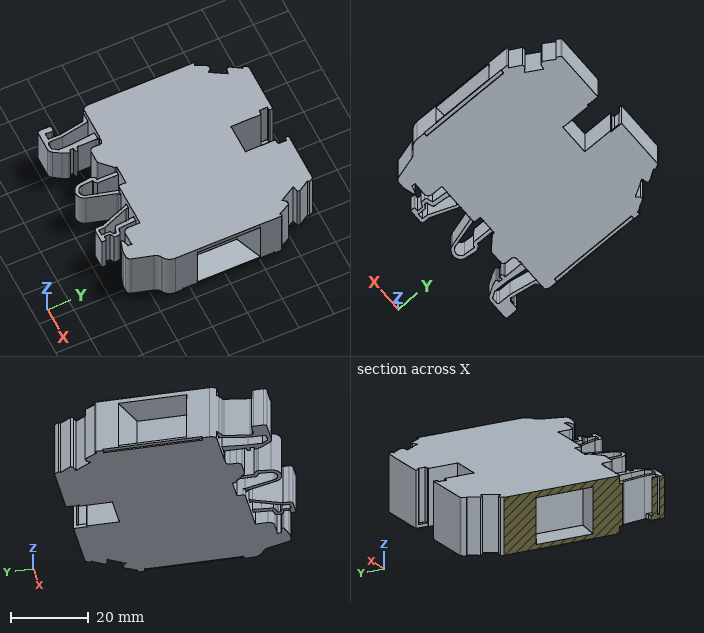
import cadquery as cq
import math


width = 52.8
thickness = 16.0
total_length = 57.38
foot_depth = 13.18
half_width = width / 2
body_top = total_length - foot_depth
shoulder = 32.0

slot_floor = 32.0
slot_half_width = 4.33
mouth_half_width = 4.67
mouth_floor = 40.65

mouth_recess_side = 5.68
mouth_recess_bottom = 40.7
mouth_recess_top = 43.05
mouth_recess_bend = 0.6
mouth_recess_bevel = 0.15
mouth_recess_flare = 0.3
mouth_recess_floor = 1.0

entry_mouth = (7.73, 25.76, 0.96, 14.6)
entry_end = (8.4, 22.2, 2.4, 13.2)
entry_depth = 6.7

rebate_low = 3.73
rebate_high = 29.85
rebate_height = 0.4
rebate_depth = 1.0

corner_radius = 2.46
corner_start = 1.72
corner_center_x = -half_width + corner_radius
corner_end_x = -25.0
corner_end_y = corner_start - math.sqrt(corner_radius**2 - (corner_center_x - corner_end_x) ** 2)

foot_z_low = 2.0
foot_z_high = 13.8
root_overlap = 1.0
seat_step = 0.1
step_y = -2.13
hook_floor_top = 3.4


def corner_points(previous, corner, following):
    """Start, middle and end of the arc rounding one corner (x, y, radius)."""
    x, y, radius = corner
    to_previous = cq.Vector(previous[0] - x, previous[1] - y).normalized()
    to_following = cq.Vector(following[0] - x, following[1] - y).normalized()
    half_angle = to_previous.getAngle(to_following) / 2
    setback = radius / math.tan(half_angle)
    apex_gap = radius / math.sin(half_angle) - radius
    vertex = cq.Vector(x, y)
    bisector = (to_previous + to_following).normalized()
    return (
        vertex + to_previous * setback,
        vertex + bisector * apex_gap,
        vertex + to_following * setback,
    )


def prism(outline, z_low, z_high):
    """Extrude a closed outline of (x, y) or rounded (x, y, radius) corners."""
    edges = []
    arcs = []
    for index, corner in enumerate(outline):
        if len(corner) == 2:
            vertex = cq.Vector(*corner)
            arcs.append((vertex, None, vertex))
        else:
            following = outline[(index + 1) % len(outline)]
            arcs.append(corner_points(outline[index - 1], corner, following))
    for index, (start, middle, end) in enumerate(arcs):
        previous_end = arcs[index - 1][2]
        edges.append(cq.Edge.makeLine(previous_end, start))
        if middle is not None:
            edges.append(cq.Edge.makeThreePointArc(start, middle, end))
    face = cq.Face.makeFromWires(cq.Wire.assembleEdges(edges))
    solid = cq.Solid.extrudeLinear(face, cq.Vector(0, 0, z_high - z_low))
    return cq.Workplane(solid.translate(cq.Vector(0, 0, z_low)))


def foot_prism(outline):
    return prism(outline, foot_z_low, foot_z_high)


def mirrored(points):
    """The same run of points on the other side of X = 0, in reverse order."""
    return [(-point[0], *point[1:]) for point in reversed(points)]


def make_body():
    left_flank = [
        (-half_width, shoulder, 0.3),
        (-26.05, shoulder),
        (-25.65, 31.7),
        (-23.85, 35.03),
        (-22.9, 35.03),
        (-22.07, 34.03),
        (-19.5, 38.4),
        (-21.05, 38.75),
        (-21.35, 39.45),
        (-19.45, 42.5),
        (-19.9, 42.9),
        (-19.1, body_top, 0.3),
        (-mouth_half_width, body_top),
        (-mouth_half_width, mouth_floor),
        (-slot_half_width, mouth_floor),
        (-slot_half_width, slot_floor),
    ]
    rail_hook = [
        (half_width, -0.6, 3.4),
        (23.6, -2.2, 2.5),
        (21.4, -9.95, 1.3),
        (18.7, -9.95, 3.0),
        (15.6, -9.0, 0.15),
        (15.6, -8.5),
        (17.57, -7.9),
        (17.57, -6.85),
        (17.1, -6.95),
        (12.53, -6.95, 1.5),
    ]
    underside = [
        (12.53, step_y),
        (-0.3, step_y, 0.5),
        (-0.3, 0.0),
        (-5.73, 0.0),
        (-5.73, -0.55),
        (-9.2, -3.95, 0.5),
        (-13.9, -3.95, 1.15),
        (-13.9, -seat_step, 1.0),
        (-16.16, -seat_step),
        (-16.16, 0.0),
        (-half_width, 0.0),
    ]
    outline = left_flank + mirrored(left_flank) + rail_hook + underside
    return prism(outline, 0, thickness)


def make_mouth_recess():
    bend_x = -mouth_recess_side + mouth_recess_bend
    outline = [
        (-mouth_half_width, mouth_recess_bottom),
        (bend_x, mouth_recess_bottom),
        (-mouth_recess_side, mouth_recess_bottom + mouth_recess_bevel),
        (-mouth_recess_side, mouth_recess_top),
        (bend_x, mouth_recess_top),
        (-mouth_half_width, mouth_recess_top + mouth_recess_flare),
    ]
    return prism(outline, mouth_recess_floor, thickness)


def rectangle_wire(x, limits):
    y_low, y_high, z_low, z_high = limits
    corners = [(y_low, z_low), (y_high, z_low), (y_high, z_high), (y_low, z_high)]
    return cq.Wire.makePolygon([cq.Vector(x, y, z) for y, z in corners], close=True)


def make_wire_entry():
    mouth = rectangle_wire(-half_width, entry_mouth)
    end = rectangle_wire(-half_width + entry_depth, entry_end)
    return cq.Workplane(cq.Solid.makeLoft([mouth, end], True))


def make_edge_rebate():
    inner_x = -half_width + rebate_depth
    outline = [
        (-half_width, rebate_low),
        (inner_x, rebate_low),
        (inner_x, rebate_high),
        (-half_width, rebate_high),
    ]
    return prism(outline, 0, rebate_height)


def make_corner_waste():
    """Material outside the rounded lower left corner."""
    rectangle = [
        (-half_width, corner_start),
        (-half_width, corner_end_y),
        (corner_end_x, corner_end_y),
        (corner_end_x, corner_start),
    ]
    disc = cq.Workplane().center(corner_center_x, corner_start).circle(corner_radius).extrude(thickness)
    return prism(rectangle, 0, thickness).cut(disc)


def make_latch_foot():
    outline = [
        (-half_width, 0.0),
        (-half_width, corner_end_y),
        (corner_end_x, corner_end_y),
        (-23.6, -1.25, 0.6),
        (-22.47, -8.2),
        (-22.47, -8.65),
        (-23.0, -9.15),
        (-25.9, -9.15, 0.7),
        (-25.9, -foot_depth, 0.7),
        (-18.8, -foot_depth, 1.6),
        (-17.0, -10.3),
        (-16.2, -8.6, 0.2),
        (-16.35, -8.15),
        (-17.07, -8.0),
        (-17.07, -7.0),
        (-16.3, -7.0, 0.3),
        (-15.8, -6.45, 0.3),
        (-16.4, -6.0, 0.2),
        (-17.07, -5.95),
        (-17.07, 0.0, 0.5),
        (-15.6, 0.0),
        (-15.6, root_overlap),
        (-23.0, root_overlap),
        (-23.0, 0.0),
    ]
    window = [
        (-22.93, 0.0),
        (-19.05, 0.0),
        (-18.4, -6.7),
        (-18.33, -10.6),
        (-19.4, -12.17),
        (-21.5, -12.17, 0.6),
        (-21.5, -8.0),
    ]
    hook_mouth = [
        (-24.3, -11.55),
        (-22.47, -11.55),
        (-22.47, -8.65),
        (-23.0, -9.15),
        (-24.4, -9.15),
        (-24.1, -9.7),
        (-24.2, -10.6),
    ]
    foot = foot_prism(outline).cut(foot_prism(window))
    return foot.cut(prism(hook_mouth, hook_floor_top, foot_z_high))


def make_loop_foot():
    outline = [
        (-5.73, root_overlap),
        (-5.73, -5.6),
        (-6.3, -5.7, 0.4),
        (-7.1, -6.9, 0.5),
        (-5.11, -22.25, 2.5),
        (0.55, -2.75, 0.6),
        (1.3, step_y),
        (1.3, step_y + root_overlap),
        (-0.3, step_y + root_overlap),
        (-0.3, root_overlap),
    ]
    window = [
        (-4.67, 0.0),
        (-0.3, 0.0),
        (-0.3, step_y),
        (-5.05, -20.06, 1.64),
        (-5.87, -6.85),
        (-5.4, -6.75),
        (-4.67, -6.0),
    ]
    return foot_prism(outline).cut(foot_prism(window))


def make_clip_foot():
    outline = [
        (4.4, step_y),
        (4.9, -3.0),
        (7.67, -10.4),
        (7.67, -12.97, 0.9),
        (12.33, -12.97, 0.2),
        (12.33, -11.57, 0.2),
        (11.1, -11.57),
        (11.1, -9.95),
        (12.33, -9.4),
        (12.33, -7.6, 0.7),
        (10.45, -7.05),
        (10.1, step_y),
        (10.1, step_y + root_overlap),
        (4.4, step_y + root_overlap),
    ]
    window = [
        (5.75, step_y),
        (8.8, step_y),
        (9.1, -4.5),
        (9.33, -7.6),
        (10.2, -8.05),
        (11.27, -8.3, 0.3),
        (11.27, -9.05),
        (10.3, -9.6),
        (10.3, -12.0),
        (8.73, -12.0),
        (8.65, -10.3),
        (5.75, -2.9),
    ]
    return foot_prism(outline).cut(foot_prism(window))


block = make_body()
for feature in (make_mouth_recess(), make_wire_entry(), make_edge_rebate()):
    block = block.cut(feature).cut(feature.mirror("YZ"))
for foot in (make_latch_foot(), make_loop_foot(), make_clip_foot()):
    block = block.union(foot)
block = block.cut(make_corner_waste())

result = block